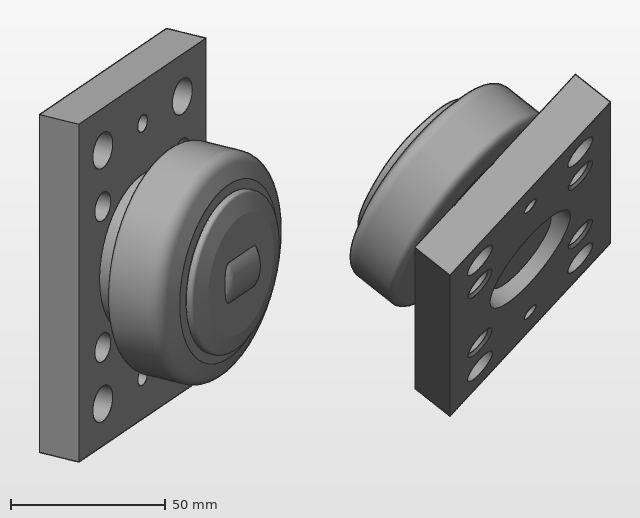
import cadquery as cq
import math

PLATE_THICKNESS = 15.0
PLATE_WIDTH = 80.0
PLATE_HEIGHT = 120.0

HOLE_OFFSET_Y = 25.0
CLEARANCE_OFFSET_Z = 45.0
CLEARANCE_DIAMETER = 12.5
DOWEL_DIAMETER = 6.0
SCREW_OFFSET_Z = 25.0
SCREW_HOLE_DIAMETER = 10.0
SCREW_HOLE_CHAMFER = 1.0

BORE_DIAMETER = 40.0
BORE_DEPTH = 10.0
PIN_DIAMETER = 36.0
PIN_END_DIAMETER = 30.0
PIN_RECESS = 4.0

HUB_RADIUS = 27.0
RING_RADIUS = 39.0
RING_BACK_X = 24.5
RING_BACK_FILLET = 2.5
RING_FRONT_X = 47.6
RING_FRONT_FILLET = 4.5
RING_FACE_RADIUS = 30.8
RING_TAPER_ANGLE = math.radians(20.0)
CAP_RADIUS = 27.5
CAP_FRONT_X = 52.4
CAP_FRONT_FILLET = 1.0
CAP_FACE_RADIUS = 20.7
CAP_TAPER_ANGLE = math.radians(17.0)

GAP_WIDTH = 0.4
GAP_DEPTH = 1.0

ROLLER_TIP_X = 54.5
ROLLER_RADIUS = 13.5
ROLLER_LENGTH = 20.6
ROLLER_FILLET = 2.5


def make_plate():
    """Rectangular plate with the bore, clearance, dowel and screw holes."""
    plate = cq.Workplane("YZ").rect(PLATE_WIDTH, PLATE_HEIGHT).extrude(PLATE_THICKNESS)
    for z in (-CLEARANCE_OFFSET_Z, CLEARANCE_OFFSET_Z):
        plate = plate.cut(plate_hole(0, z, DOWEL_DIAMETER))
        for y in (-HOLE_OFFSET_Y, HOLE_OFFSET_Y):
            plate = plate.cut(plate_hole(y, z, CLEARANCE_DIAMETER))
    for z in (-SCREW_OFFSET_Z, SCREW_OFFSET_Z):
        for y in (-HOLE_OFFSET_Y, HOLE_OFFSET_Y):
            plate = plate.cut(plate_hole(y, z, SCREW_HOLE_DIAMETER))
            plate = plate.cut(entry_chamfer(y, z))
    bore = cq.Workplane("YZ").circle(BORE_DIAMETER / 2).extrude(BORE_DEPTH)
    return plate.cut(bore)


def plate_hole(y, z, diameter):
    """Cutter for a plain hole through the plate."""
    return cq.Workplane("YZ").center(y, z).circle(diameter / 2).extrude(PLATE_THICKNESS)


def entry_chamfer(y, z):
    """Conical cutter for the back edge of a screw hole."""
    small_radius = SCREW_HOLE_DIAMETER / 2
    cone = cq.Solid.makeCone(
        small_radius + SCREW_HOLE_CHAMFER,
        small_radius,
        SCREW_HOLE_CHAMFER,
        pnt=cq.Vector(0, y, z),
        dir=cq.Vector(1, 0, 0),
    )
    return cq.Workplane(cone)


def make_pin():
    """Tapered pin end standing on the shoulder at the bottom of the bore."""
    cone = cq.Solid.makeCone(
        PIN_END_DIAMETER / 2,
        PIN_DIAMETER / 2,
        BORE_DEPTH - PIN_RECESS,
        pnt=cq.Vector(PIN_RECESS, 0, 0),
        dir=cq.Vector(1, 0, 0),
    )
    return cq.Workplane(cone)


def add_tapered_shoulder(profile, rim_radius, fillet, front_x, face_radius, taper_angle):
    """Continue a profile along its rim, over a rounding and down a taper to the front face.

    The rounding is tangent to both the rim and the taper. The taper angle is
    measured from the front face.
    """
    center_radius = rim_radius - fillet
    taper_run = (center_radius - face_radius) * math.tan(taper_angle)
    center_x = front_x - taper_run - fillet / math.cos(taper_angle)

    def on_rounding(angle):
        return (
            center_x + fillet * math.cos(angle),
            center_radius + fillet * math.sin(angle),
        )

    rim_angle = math.pi / 2
    return (
        profile.lineTo(*on_rounding(rim_angle))
        .threePointArc(on_rounding((rim_angle + taper_angle) / 2), on_rounding(taper_angle))
        .lineTo(front_x, face_radius)
    )


def make_bearing():
    """Hub, rounded and tapered ring, and tapered cap in one revolved profile."""
    back_round_middle = RING_BACK_FILLET * (1 - math.sqrt(0.5))
    profile = (
        cq.Workplane("XY")
        .moveTo(PLATE_THICKNESS, 0)
        .lineTo(PLATE_THICKNESS, HUB_RADIUS)
        .lineTo(RING_BACK_X - GAP_WIDTH, HUB_RADIUS)
        .lineTo(RING_BACK_X - GAP_WIDTH, HUB_RADIUS - GAP_DEPTH)
        .lineTo(RING_BACK_X, HUB_RADIUS - GAP_DEPTH)
        .lineTo(RING_BACK_X, RING_RADIUS - RING_BACK_FILLET)
        .threePointArc(
            (RING_BACK_X + back_round_middle, RING_RADIUS - back_round_middle),
            (RING_BACK_X + RING_BACK_FILLET, RING_RADIUS),
        )
    )
    profile = add_tapered_shoulder(
        profile, RING_RADIUS, RING_FRONT_FILLET, RING_FRONT_X, RING_FACE_RADIUS, RING_TAPER_ANGLE
    )
    profile = (
        profile.lineTo(RING_FRONT_X, CAP_RADIUS - GAP_DEPTH)
        .lineTo(RING_FRONT_X + GAP_WIDTH, CAP_RADIUS - GAP_DEPTH)
        .lineTo(RING_FRONT_X + GAP_WIDTH, CAP_RADIUS)
    )
    profile = add_tapered_shoulder(
        profile, CAP_RADIUS, CAP_FRONT_FILLET, CAP_FRONT_X, CAP_FACE_RADIUS, CAP_TAPER_ANGLE
    )
    profile = profile.lineTo(CAP_FRONT_X, 0).close()
    return profile.revolve(360, (0, 0, 0), (1, 0, 0))


def make_roller():
    """Roller with rounded ends whose crown sticks out of the cap."""
    roller = cq.Workplane("XZ", origin=(ROLLER_TIP_X - ROLLER_RADIUS, 0, 0))
    roller = roller.circle(ROLLER_RADIUS).extrude(ROLLER_LENGTH / 2, both=True)
    return roller.faces("<Y or >Y").edges().fillet(ROLLER_FILLET)


result = make_plate().union(make_pin()).union(make_bearing()).union(make_roller())